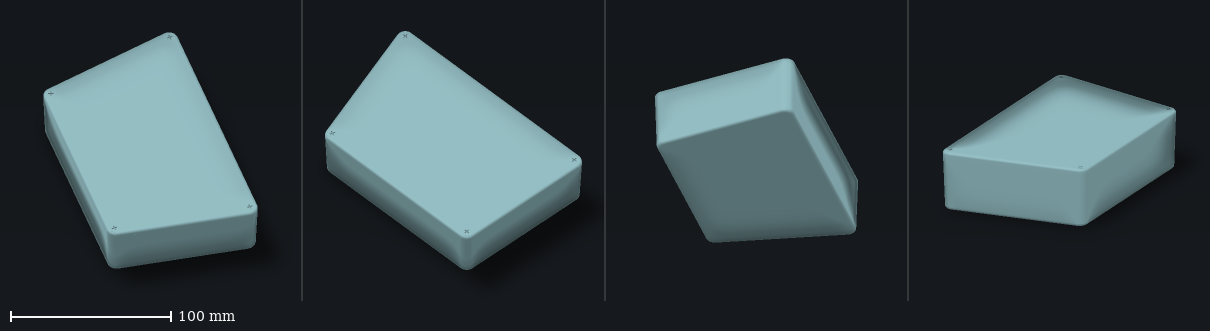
import cadquery as cq
import math

BACK_WIDTH = 151.2
DEPTH = 95.0
HEIGHT = 39.0
SIDE_ANGLE = 10.0
CORNER_RADIUS = 5.9
EDGE_RADIUS = 2.0

LID_THICKNESS = 4.0
BOX_HEIGHT = HEIGHT - LID_THICKNESS
DRAFT_ANGLE = 1.5

HEAD_DIAMETER = 6.7
HEAD_HEIGHT = 2.0
HEAD_INSET = 5.0
BACK_SCREW_X = 70.5
FRONT_SCREW_X = 56.0
CROSS_LENGTH = 3.5
CROSS_WIDTH = 0.8
CROSS_DEPTH = 0.9
FRONT_LEFT_TURN = -25.0

SIDE_SLOPE = math.tan(math.radians(SIDE_ANGLE))
SIDE_OFFSET = CORNER_RADIUS / math.cos(math.radians(SIDE_ANGLE))
BACK_CENTRE_X = BACK_WIDTH / 2 - CORNER_RADIUS
BACK_CORNER_X = BACK_CENTRE_X + SIDE_OFFSET + CORNER_RADIUS * SIDE_SLOPE
FRONT_CORNER_X = BACK_CORNER_X - DEPTH * SIDE_SLOPE

SCREW_Y = DEPTH / 2 - HEAD_INSET
SCREW_POINTS = [
    (-BACK_SCREW_X, SCREW_Y),
    (BACK_SCREW_X, SCREW_Y),
    (-FRONT_SCREW_X, -SCREW_Y),
    (FRONT_SCREW_X, -SCREW_Y),
]
CROSS_TURNS = [0, 0, FRONT_LEFT_TURN, 0]


def trapezoid(z):
    """Sharp-cornered outline of the enclosure at height z."""
    return cq.Workplane("XY").workplane(offset=z).polyline([
        (-BACK_CORNER_X, DEPTH / 2),
        (BACK_CORNER_X, DEPTH / 2),
        (FRONT_CORNER_X, -DEPTH / 2),
        (-FRONT_CORNER_X, -DEPTH / 2),
    ]).close()


def upright_edges(body):
    """The four corner edges that join the bottom face to the top face."""
    return body.edges("not(#Z)")


def make_box():
    """Lower body with drafted walls and a rounded bottom edge."""
    box = trapezoid(BOX_HEIGHT).extrude(-BOX_HEIGHT, taper=DRAFT_ANGLE)
    box = upright_edges(box).fillet(CORNER_RADIUS)
    return box.faces("<Z").edges().fillet(EDGE_RADIUS)


def make_lid():
    """Straight-walled lid with a rounded top edge and a seat for each screw head."""
    lid = trapezoid(BOX_HEIGHT).extrude(LID_THICKNESS)
    lid = upright_edges(lid).fillet(CORNER_RADIUS)
    lid = lid.faces(">Z").edges().fillet(EDGE_RADIUS)
    seats = (
        cq.Workplane("XY").workplane(offset=HEIGHT - HEAD_HEIGHT)
        .pushPoints(SCREW_POINTS).circle(HEAD_DIAMETER / 2).extrude(HEAD_HEIGHT)
    )
    return lid.cut(seats)


def make_screw(x, y, turn):
    """Flat screw head with a cross recess in its top, turned about its axis by turn degrees."""
    head = (
        cq.Workplane("XY", origin=(x, y, HEIGHT - HEAD_HEIGHT))
        .circle(HEAD_DIAMETER / 2).extrude(HEAD_HEIGHT)
    )
    top = cq.Workplane("XY", origin=(x, y, HEIGHT)).transformed(rotate=(0, 0, turn))
    for length, width in [(CROSS_LENGTH, CROSS_WIDTH), (CROSS_WIDTH, CROSS_LENGTH)]:
        head = head.cut(top.rect(length, width).extrude(-CROSS_DEPTH))
    return head


box = make_box()
lid = make_lid()
screws = [make_screw(x, y, turn) for (x, y), turn in zip(SCREW_POINTS, CROSS_TURNS)]

result = cq.Compound.makeCompound([box.val(), lid.val(), *[screw.val() for screw in screws]])